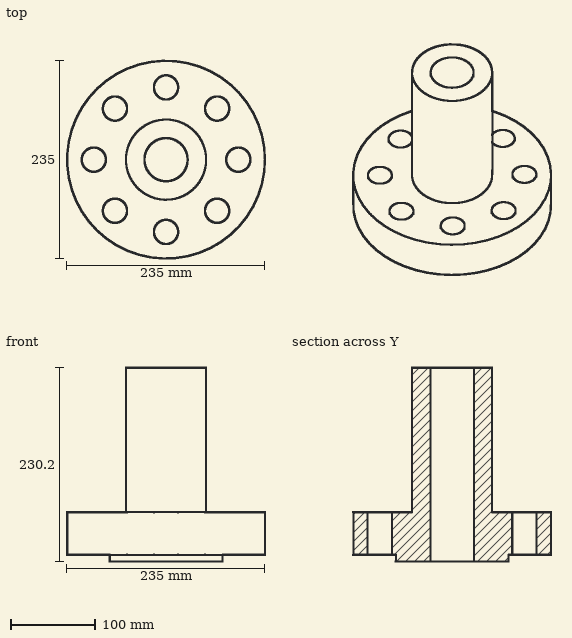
import cadquery as cq

total_height = 230.2
face_height = 7.9
flange_thickness = 50.8
neck_height = total_height - face_height - flange_thickness

flange_diameter = 235.0
face_diameter = 134.0
neck_diameter = 95.3
bore_diameter = 51.0

bolt_count = 8
bolt_hole_diameter = 28.5
bolt_circle_diameter = 171.5


def make_body():
    """Raised face, flange disc and long neck stacked along Z from Z = 0."""
    face = cq.Workplane("XY").circle(face_diameter / 2).extrude(face_height)
    flange = face.faces(">Z").workplane().circle(flange_diameter / 2).extrude(flange_thickness)
    return flange.faces(">Z").workplane().circle(neck_diameter / 2).extrude(neck_height)


def make_bore():
    """Central bore through the full height."""
    return cq.Workplane("XY").circle(bore_diameter / 2).extrude(total_height)


def make_bolt_holes():
    """Evenly spaced through holes in the flange, the first one on the +X axis."""
    return (
        cq.Workplane("XY")
        .workplane(offset=face_height)
        .polarArray(bolt_circle_diameter / 2, 0, 360, bolt_count)
        .circle(bolt_hole_diameter / 2)
        .extrude(flange_thickness)
    )


result = make_body().cut(make_bore()).cut(make_bolt_holes())